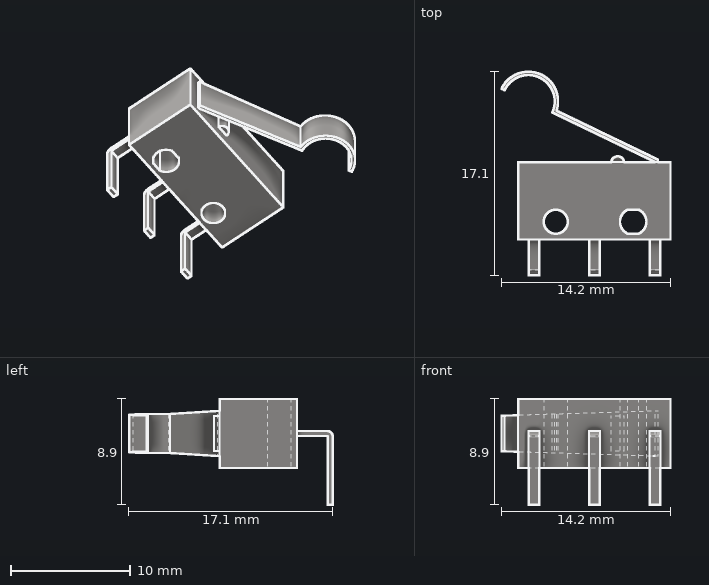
import cadquery as cq
import math


housing_length = 12.8
housing_depth = 6.5
housing_height = 5.8
mid_height = housing_height / 2

hole_spacing = 6.5
hole_diameter = 2.0
hole_setback = 1.5
wide_hole_length = 2.2

terminal_count = 3
terminal_pitch = 5.08
terminal_width = 0.9
terminal_thickness = 0.45
terminal_reach = 3.0
terminal_drop = 3.1
terminal_bend_radius = 0.5

plunger_x = 1.95
plunger_radius = 0.55
plunger_rise = 0.5
plunger_height = 2.9

lever_reach = 7.6
lever_thickness = 0.3
lever_foot_x = 5.09
lever_end_x = 5.35
hook_radius = 2.5
hook_angle = math.radians(25)
hook_tip_x = -7.81
lever_root_height = 3.8
lever_tip_height = 3.0


def build_terminal(x):
    """One L-shaped terminal with a rounded outer bend, centred on x."""
    top = mid_height + terminal_thickness / 2
    bottom = top - terminal_thickness
    tip = -terminal_drop
    return (
        cq.Workplane("YZ", origin=(x - terminal_width / 2, 0, 0))
        .moveTo(0, top)
        .lineTo(-terminal_reach + terminal_bend_radius, top)
        .radiusArc((-terminal_reach, top - terminal_bend_radius), -terminal_bend_radius)
        .lineTo(-terminal_reach, tip)
        .lineTo(-terminal_reach + terminal_thickness, tip)
        .lineTo(-terminal_reach + terminal_thickness, bottom)
        .lineTo(0, bottom)
        .close()
        .extrude(terminal_width)
    )


def build_plunger():
    """Cylinder along Z, sunk just past its middle into the lever face."""
    center_y = housing_depth + plunger_rise - plunger_radius
    base = mid_height - plunger_height / 2
    return (
        cq.Workplane("XY", origin=(plunger_x, center_y, base))
        .circle(plunger_radius)
        .extrude(plunger_height)
    )


def build_wide_hole():
    """Cutter for a round hole whose sides are flattened to the width of the other hole."""
    center = (hole_spacing / 2, hole_setback, 0)
    round_part = cq.Workplane("XY", origin=center).circle(wide_hole_length / 2).extrude(housing_height)
    flats = cq.Workplane("XY", origin=center).rect(wide_hole_length, hole_diameter).extrude(housing_height)
    return round_part.intersect(flats)


def build_switch():
    """Housing with its plunger and terminals, formed as one body."""
    body = cq.Workplane("XY").box(
        housing_length, housing_depth, housing_height, centered=(True, False, False)
    )
    body = body.union(build_plunger())
    for index in range(terminal_count):
        x = (index - (terminal_count - 1) / 2) * terminal_pitch
        body = body.union(build_terminal(x))
    round_hole = (
        cq.Workplane("XY", origin=(-hole_spacing / 2, hole_setback, 0))
        .circle(hole_diameter / 2)
        .extrude(housing_height)
    )
    return body.cut(round_hole).cut(build_wide_hole())


def build_lever_strip():
    """Hooked strip of constant height, resting on the lever face of the housing."""
    inner_radius = hook_radius - lever_thickness
    center_x = hook_tip_x + hook_radius * math.cos(hook_angle)
    center_y = housing_depth + lever_reach - hook_radius

    def hook_point(radius, angle):
        return (center_x + radius * math.cos(angle), center_y + radius * math.sin(angle))

    tip_angle = math.pi - hook_angle
    arm_start = hook_point(inner_radius, -hook_angle)
    arm_angle = math.atan2(arm_start[1] - housing_depth, lever_foot_x - arm_start[0])

    outer_face_offset = inner_radius * math.sin(arm_angle - hook_angle) + lever_thickness
    join_angle = math.asin(outer_face_offset / hook_radius) - arm_angle
    end_drop = (lever_end_x - lever_foot_x) * math.tan(arm_angle)
    end_y = housing_depth + lever_thickness / math.cos(arm_angle) - end_drop

    return (
        cq.Workplane("XY", origin=(0, 0, mid_height - lever_root_height / 2))
        .moveTo(*hook_point(hook_radius, tip_angle))
        .threePointArc(hook_point(hook_radius, math.pi / 2), hook_point(hook_radius, join_angle))
        .lineTo(lever_end_x, end_y)
        .lineTo(lever_end_x, housing_depth)
        .lineTo(lever_foot_x, housing_depth)
        .lineTo(*arm_start)
        .threePointArc(hook_point(inner_radius, math.pi / 2), hook_point(inner_radius, tip_angle))
        .close()
        .extrude(lever_root_height)
    )


def build_lever():
    """Lever strip whose height tapers evenly from its root to the hook tip."""
    root = lever_root_height / 2
    tip = lever_tip_height / 2
    taper = (
        cq.Workplane("XZ", origin=(0, housing_depth, mid_height))
        .polyline([(hook_tip_x, -tip), (lever_end_x, -root), (lever_end_x, root), (hook_tip_x, tip)])
        .close()
        .extrude(-lever_reach)
    )
    return build_lever_strip().intersect(taper)


switch = build_switch()
lever = build_lever()

result = cq.Compound.makeCompound([switch.val(), lever.val()])